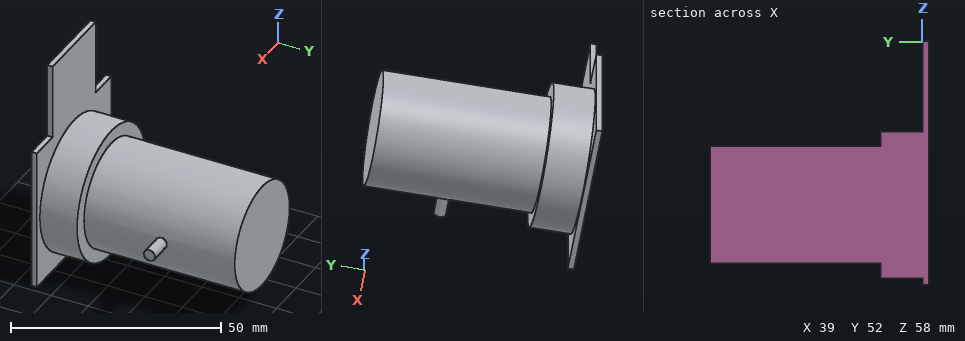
import cadquery as cq

plate_side = 38.0
plate_thickness = 1.5
tab_width = 22.0
tab_height = 20.0

collar_diameter = 35.0
collar_length = 10.0
barrel_diameter = 28.0
barrel_length = 40.5

pin_diameter = 3.0
pin_reach = 20.0
pin_setback = 32.25

collar_start = plate_thickness
barrel_start = collar_start + collar_length


def make_plate():
    """Square plate with a narrower tab standing on its top edge."""
    half_side = plate_side / 2
    half_tab = tab_width / 2
    tab_top = half_side + tab_height
    return (
        cq.Workplane("XZ")
        .moveTo(-half_side, -half_side)
        .lineTo(half_side, -half_side)
        .lineTo(half_side, half_side)
        .lineTo(half_tab, half_side)
        .lineTo(half_tab, tab_top)
        .lineTo(-half_tab, tab_top)
        .lineTo(-half_tab, half_side)
        .lineTo(-half_side, half_side)
        .close()
        .extrude(-plate_thickness)
    )


def make_axial_cylinder(diameter, start, length):
    """Cylinder on the Y axis running from start towards +Y."""
    return cq.Workplane("XZ", origin=(0, start, 0)).circle(diameter / 2).extrude(-length)


def make_pin():
    """Radial pin on the +X side, rooted at the barrel axis."""
    return cq.Workplane("YZ").center(pin_setback, 0).circle(pin_diameter / 2).extrude(pin_reach)


plate = make_plate()
collar = make_axial_cylinder(collar_diameter, collar_start, collar_length)
barrel = make_axial_cylinder(barrel_diameter, barrel_start, barrel_length)

result = plate.union(collar).union(barrel).union(make_pin())